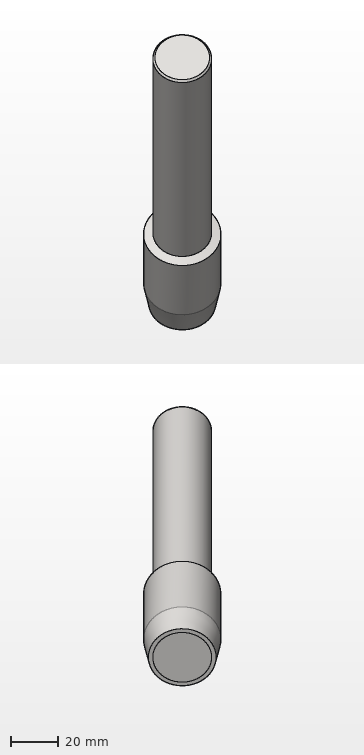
import cadquery as cq

total_length = 180.0
shaft_diameter = 25.0
shaft_chamfer = 0.9

sleeve_diameter = 33.0
sleeve_foot_diameter = 28.8
taper_height = 14.0
shoulder_height = 50.2
shoulder_rise = 1.0


def make_shaft():
    """Round bar running the full length, chamfered at its upper end."""
    bar = cq.Workplane("XY").circle(shaft_diameter / 2).extrude(total_length)
    return bar.faces(">Z").chamfer(shaft_chamfer)


def make_sleeve():
    """Revolved sleeve with a tapered foot, a sloping shoulder and a through bore that fits the shaft."""
    bore_radius = shaft_diameter / 2
    wall_radius = sleeve_diameter / 2
    profile = (
        cq.Workplane("XZ")
        .moveTo(bore_radius, 0)
        .lineTo(sleeve_foot_diameter / 2, 0)
        .lineTo(wall_radius, taper_height)
        .lineTo(wall_radius, shoulder_height)
        .lineTo(bore_radius, shoulder_height + shoulder_rise)
        .close()
    )
    return profile.revolve(360, (0, 0, 0), (0, 1, 0))


shaft = make_shaft()
sleeve = make_sleeve()

result = cq.Compound.makeCompound([shaft.val(), sleeve.val()])